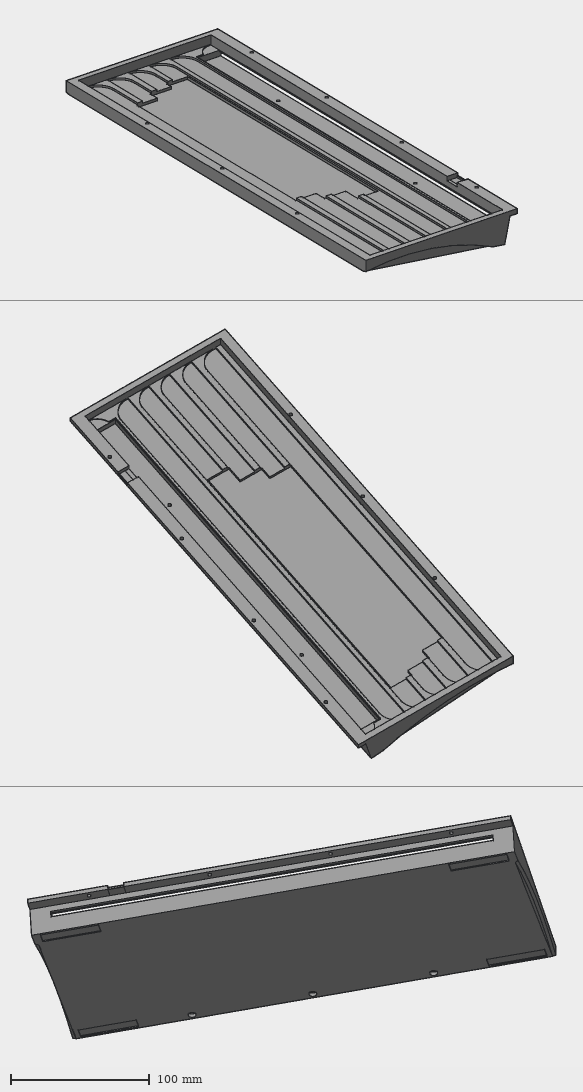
import cadquery as cq
import math

length = 357.86
width = 136.76
height = 25.65
half_length = length / 2
rear_y = width / 2
front_y = -width / 2
overcut = 5.0

front_height = 10.0
flange_thickness = 4.1
flange_overhang = 6.6
heel_inset = 11.4
heel_y = rear_y - heel_inset
bottom_tilt = math.atan2(height - front_height, heel_y - front_y)

scoop_depth = 2.4
scoop_roof_drop = 0.6
scoop_crest = (-36.0, -6.7)
scoop_rear_y = 46.5
scoop_front_z = -9.2

side_wall = 4.9
pocket_rear_y = rear_y - 9.7
pocket_front_y = front_y + 7.5
pocket_depth = 7.5
half_pocket = half_length - side_wall
corner_radius = 13.9

row_pitch = 19.05
first_row_y = 36.4
row_lengths = [15.4, 14.8, 14.1, 14.4, 16.9]
row_depth = 1.6

rear_bed_front_y = 43.9
rear_bed_depth = 0.7
bay_half_length = 163.8
bay_ledge = 0.8
bay_front_y = 39.3
bay_rear_y = 58.0
bay_floor_z = -13.1
bay_roof_z = -8.7
bay_hole_x = 82.0
bay_hole_y = 49.6
bay_hole_depth = 5.0

recess_rear_y = 15.8
recess_floor_z = -11.2
recess_row_spans = [(-145.5, 82.2), (-140.0, 68.2), (-131.4, 58.2)]
recess_row_y = [recess_rear_y, -2.9, -22.0, -40.5]

notch_x = (107.8, 119.7)
notch_depth = 3.6
notch_sill_width = 0.9
notch_sill_depth = 2.2

screw_diameter = 2.53
counterbore_diameter = 5.6
counterbore_depth = 3.0
screw_pitch = length / 4
rear_screw_y = rear_y - 3.1
front_screw_y = front_y + 4.4

foot_length = 43.0
foot_width = 8.0
foot_depth = 1.0
foot_side_inset = 6.2
foot_edge_inset = 1.5


def box_between(x_range, y_range, z_range):
    """Axis-aligned box spanning three (start, end) ranges."""
    starts = [r[0] for r in (x_range, y_range, z_range)]
    sizes = [r[1] - r[0] for r in (x_range, y_range, z_range)]
    return cq.Workplane("XY").box(*sizes, centered=False).translate(tuple(starts))


def bottom_z(y):
    """Height of the sloping bottom at a given Y."""
    return -front_height - (y - front_y) * math.tan(bottom_tilt)


def bottom_cutter(solid, x, y):
    """Place a cutter standing on Z = 0 onto the sloping bottom at (x, y), pointing into the case."""
    tilted = solid.rotate((0, 0, 0), (1, 0, 0), -math.degrees(bottom_tilt))
    return tilted.translate((x, y, bottom_z(y)))


def make_body():
    outline = [
        (rear_y, 0),
        (rear_y, -flange_thickness),
        (rear_y - flange_overhang, -flange_thickness),
        (heel_y, -height),
        (front_y, -front_height),
        (front_y, 0),
    ]
    return cq.Workplane("YZ").polyline(outline).close().extrude(half_length, both=True)


def make_scoop_wire(x, roof_drop):
    """Scoop outline in the plane at X = x, its arched roof lowered by roof_drop."""
    crest_y, crest_z = scoop_crest
    return (
        cq.Workplane("YZ", origin=(x, 0, 0))
        .moveTo(scoop_rear_y, bottom_z(scoop_rear_y) - roof_drop)
        .threePointArc((crest_y, crest_z - roof_drop), (front_y, scoop_front_z - roof_drop))
        .lineTo(front_y, -height - overcut)
        .lineTo(scoop_rear_y, -height - overcut)
        .close()
        .wire()
        .val()
    )


def make_side_scoops():
    outer = make_scoop_wire(-half_length, 0)
    inner = make_scoop_wire(-half_length + scoop_depth, scoop_roof_drop)
    left = cq.Workplane(cq.Solid.makeLoft([outer, inner], True))
    return left.union(left.mirror("YZ"))


def make_pocket():
    return box_between(
        (-half_pocket, half_pocket), (pocket_front_y, pocket_rear_y), (-pocket_depth, overcut)
    )


def make_row_bed(rear_edge_y, bed_length):
    """Shallow flat bed across the pocket, with rounded rear corners."""
    return (
        box_between(
            (-half_pocket, half_pocket),
            (rear_edge_y - bed_length, rear_edge_y),
            (-pocket_depth - row_depth, 0),
        )
        .edges("|Z and >Y")
        .fillet(corner_radius)
    )


def make_rear_bed():
    """Shallow bed with rounded front corners, plus a narrow ledge around the cable bay."""
    z_range = (-pocket_depth - rear_bed_depth, 0)
    bed = (
        box_between((-half_pocket, half_pocket), (rear_bed_front_y, pocket_rear_y), z_range)
        .edges("|Z and <Y")
        .fillet(corner_radius)
    )
    ledge_half_length = bay_half_length + bay_ledge
    ledge = box_between(
        (-ledge_half_length, ledge_half_length), (bay_front_y - bay_ledge, pocket_rear_y), z_range
    )
    return bed.union(ledge)


def make_cable_bay():
    x_range = (-bay_half_length, bay_half_length)
    well = box_between(x_range, (bay_front_y, bay_rear_y), (bay_floor_z, 0))
    window = box_between(x_range, (bay_front_y, rear_y), (bay_floor_z, bay_roof_z))
    return well.union(window)


def make_bay_holes():
    return (
        cq.Workplane("XY", origin=(0, 0, bay_floor_z))
        .pushPoints([(-bay_hole_x, bay_hole_y), (bay_hole_x, bay_hole_y)])
        .circle(screw_diameter / 2)
        .extrude(-bay_hole_depth)
    )


def make_center_recess():
    recess = cq.Workplane("XY")
    for x_range, y_rear, y_front in zip(recess_row_spans, recess_row_y, recess_row_y[1:]):
        recess = recess.union(box_between(x_range, (y_front, y_rear), (recess_floor_z, 0)))
    return recess


def make_rim_notch():
    """Notch through the rim, with a shallower sill along its outer edge."""
    sill_y = rear_y - notch_sill_width
    channel = box_between(notch_x, (pocket_rear_y, sill_y), (-notch_depth, 0))
    sill = box_between(notch_x, (sill_y, rear_y), (-notch_sill_depth, 0))
    return channel.union(sill)


def make_rear_screw_holes():
    positions = [(screw_pitch * i, rear_screw_y) for i in (-1.5, -0.5, 0.5, 1.5)]
    return (
        cq.Workplane("XY")
        .pushPoints(positions)
        .circle(screw_diameter / 2)
        .extrude(-flange_thickness)
    )


def make_front_screw_hole(x):
    shaft_length = front_height + overcut
    shaft = cq.Workplane("XY").circle(screw_diameter / 2).extrude(shaft_length)
    counterbore = cq.Workplane("XY").circle(counterbore_diameter / 2).extrude(counterbore_depth)
    return bottom_cutter(shaft.union(counterbore), x, front_screw_y)


def make_foot_recess(x, y):
    return bottom_cutter(cq.Workplane("XY").rect(foot_length, foot_width).extrude(foot_depth), x, y)


result = make_body().cut(make_side_scoops()).cut(make_pocket())

for row, bed_length in enumerate(row_lengths):
    result = result.cut(make_row_bed(first_row_y - row * row_pitch, bed_length))

result = result.cut(make_rear_bed()).cut(make_cable_bay()).cut(make_bay_holes())
result = result.cut(make_center_recess()).cut(make_rim_notch()).cut(make_rear_screw_holes())

for i in (-1, 0, 1):
    result = result.cut(make_front_screw_hole(i * screw_pitch))

foot_x = half_length - foot_side_inset - foot_length / 2
foot_offset = foot_edge_inset + foot_width / 2
for x in (-foot_x, foot_x):
    for y in (front_y + foot_offset, heel_y - foot_offset):
        result = result.cut(make_foot_recess(x, y))